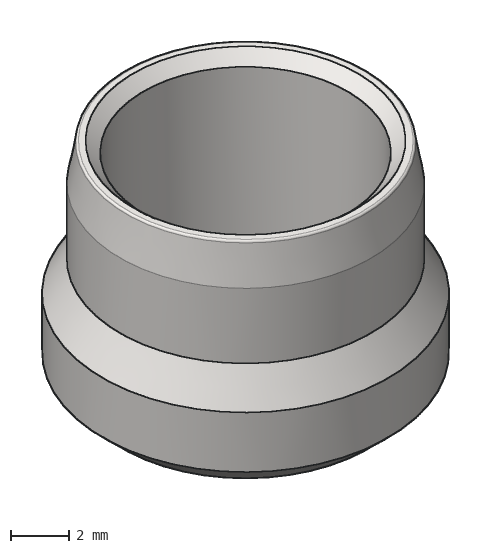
import cadquery as cq
import math

total_height = 10.0
collar_top = 3.53
sleeve_bottom = 5.0
taper_start = 8.2

collar_radius = 7.0
sleeve_radius = 12.3 / 2
bore_radius = 10.0 / 2

bottom_chamfer = 1.0
taper_angle = 10.0
bore_chamfer = 0.5
rim_fillet = 0.1

rim_radius = sleeve_radius - (total_height - taper_start) * math.tan(math.radians(taper_angle))


def ring_blank():
    """Revolve the half section (radius, height) about Z."""
    section = [
        (bore_radius, 0),
        (collar_radius - bottom_chamfer, 0),
        (collar_radius, bottom_chamfer),
        (collar_radius, collar_top),
        (sleeve_radius, sleeve_bottom),
        (sleeve_radius, taper_start),
        (rim_radius, total_height),
        (bore_radius + bore_chamfer, total_height),
        (bore_radius, total_height - bore_chamfer),
    ]
    return cq.Workplane("XZ").polyline(section).close().revolve(360, (0, 0), (0, 1))


def round_outer_rim(ring):
    """Round the outer edge of the flat top rim."""
    outer_edge = ring.faces(">Z").edges(cq.selectors.RadiusNthSelector(-1))
    return outer_edge.fillet(rim_fillet)


result = round_outer_rim(ring_blank())